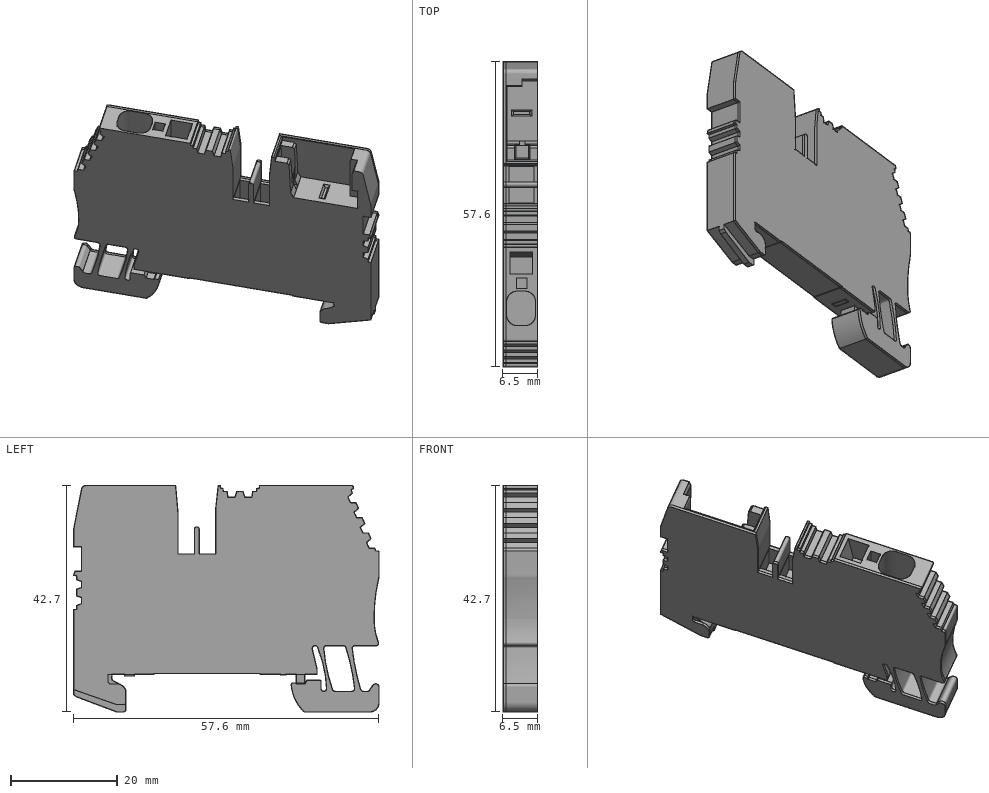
import cadquery as cq


WIDTH = 6.5
LENGTH = 57.55
HEIGHT = 42.7
COVER_THICKNESS = 0.5
RAIL_FACE_Z = 7.1
BODY_END_Z = 12.5
FOOT_FLOOR_Z = 3.93

SLOT_FLOOR_Z = 29.83
SLOT_LOW_Y = 30.81
SLOT_HIGH_Y = 37.87
SLOT_TOP_WIDENING = 0.45
RIB_LOW_Y = 33.86
RIB_HIGH_Y = 34.82
RIB_TOP_Z = 34.9

TEETH = 4
FIRST_TOOTH_ROOT = (5.88, 40.51)
TOOTH_STEP = (-1.17, -2.857)
TOOTH_SHAPE = [(-0.84, 0.72), (0, 0), (-0.5, -1.03), (-1.52, -1.03)]

TOP_GROOVE_Y = 26.23
TOP_GROOVE_HALF = [
    (3.68, HEIGHT), (3.64, 42.2), (3.18, 42.15), (3.1, 41.57), (2.4, 41.57), (2.24, 40.51),
    (0.95, 40.51), (0.6, 41.57),
]

BACK_GROOVE_Z = 22.52
BACK_GROOVE_HALF = [
    (LENGTH, 3.2), (57.0, 3.15), (57.0, 2.42), (56.07, 2.08), (56.07, 0.95), (57.0, 0.66),
]
BACK_NOTCH_Y = 56.07
BACK_NOTCH_LOW_Z = 26.55
BACK_NOTCH_HIGH_Z = 31.15

HOOK_LOW_Y = 47.69
HOOK_TIP_Z = 4.11
HOOK_FLAT_Y = 49.37
HOOK_BOTTOM_Z = 1.39
FOOT_SLOPE_END_Z = 4.25
FOOT_RIB_X = (2.6, 3.8)

POCKET_X = 0.7
POCKET_LOW_Y = 39.0
SLOT_WALL_CHAMFER = 0.25
POCKET_HIGH_Y = 53.0
POCKET_FLOOR_Z = 33.0
POST_X = 3.55
POST_Y = 53.9
POST_CHAMFER = (0.35, 1.0)
COVER_SIDE_CHAMFER = (0.2, 0.8)
POST_BOTTOM_Z = 37.5
UNDERCUT_Y = 55.0

GUIDE_TOP_Z = 41.75
GUIDE_EDGE_DROP = 0.4
GUIDE_PROFILE = [
    (POCKET_LOW_Y, POCKET_FLOOR_Z), (POCKET_LOW_Y, GUIDE_TOP_Z), (41.3, GUIDE_TOP_Z),
    (41.7, GUIDE_TOP_Z - GUIDE_EDGE_DROP), (42.0, 34.2), (42.6, POCKET_FLOOR_Z),
]
GUIDE_RECESS_X = (2.4, 4.75)
GUIDE_RECESS_Y = (39.4, 41.75)
GUIDE_RECESS_FLARE = 0.3
GUIDE_SLIT_X = (3.1, 4.1)
GUIDE_SLIT_FLOOR = 0.1

TAB_CENTRE = (3.5, 47.85)
TAB_SLIT_SIZE = (3.8, 1.2)
TAB_SIZE = (3.0, 0.5)
TAB_DEPTH = 4.0
TAB_TOP_GAP = 0.5

JUMPER_X = (1.1, 5.8)
JUMPER_DEPTH = 5.0
JUMPER_WALL = 0.07

ACTUATOR_X = (1.25, 5.55)
ACTUATOR_Y = (17.55, 21.7)
ACTUATOR_DEPTH = 6.0
ACTUATOR_SLOPE = 1.0
ACTUATOR_LENGTH = 8.0
PROBE_X = (2.5, 4.5)
PROBE_Y = (14.8, 16.75)
PROBE_DEPTH = 6.0
WIRE_CENTRE = (3.38, 11.05)
WIRE_LENGTH = 6.5
WIRE_WIDTH = 5.45
WIRE_CORNER_RADIUS = 2.0
WIRE_DEPTH = 12.0

CONTACT_X = (2.0, 5.0)
CONTACT_BOTTOM_Z = 7.5
CONTACT_TOP_Z = 9.0
CONTACT_FRONT_END_Y = (14.0, 15.65)
CONTACT_BACK_END_Y = (50.3, 51.2)
CONTACT_END_Z = 5.4
CONTACT_FRONT_PAD_Y = (17.5, 18.6)
CONTACT_FRONT_PAD_Z = 6.98
CONTACT_BACK_PAD_Y = (46.1, 47.95)
CONTACT_BACK_PAD_Z = 6.8


def box(x_range, y_range, z_range):
    """Box between the given limits."""
    size = [high - low for low, high in (x_range, y_range, z_range)]
    return cq.Workplane("XY", origin=(x_range[0], y_range[0], z_range[0])).box(*size, centered=False)


def prism(points, x_range):
    """Prism along X over a straight-sided (Y, Z) outline."""
    low, high = x_range
    return cq.Workplane("YZ", origin=(low, 0, 0)).polyline(points).close().extrude(high - low)


def top_groove_points():
    high_side = [(TOP_GROOVE_Y + y, z) for y, z in TOP_GROOVE_HALF]
    low_side = [(TOP_GROOVE_Y - y, z) for y, z in reversed(TOP_GROOVE_HALF)]
    return high_side + low_side


def back_groove_points():
    low_side = [(y, BACK_GROOVE_Z - z) for y, z in BACK_GROOVE_HALF]
    high_side = [(y, BACK_GROOVE_Z + z) for y, z in reversed(BACK_GROOVE_HALF)]
    return low_side + high_side


def tooth_points():
    points = []
    for i in range(TEETH):
        root_y = FIRST_TOOTH_ROOT[0] + i * TOOTH_STEP[0]
        root_z = FIRST_TOOTH_ROOT[1] + i * TOOTH_STEP[1]
        points += [(root_y + y, root_z + z) for y, z in TOOTH_SHAPE]
    return points


def foot_window(x, thickness):
    """Opening between the two spring arms of the flexible foot."""
    return (
        cq.Workplane("YZ", origin=(x, 0, 0))
        .moveTo(10.45, BODY_END_Z)
        .threePointArc((9.88, 8.3), (8.65, FOOT_FLOOR_Z))
        .lineTo(4.6, FOOT_FLOOR_Z)
        .threePointArc((5.25, 8.3), (6.4, BODY_END_Z))
        .close()
        .extrude(thickness)
        .edges("|X")
        .fillet(0.5)
    )


def block_plate(x, thickness, hook_points):
    """Full side outline of the block; hook_points shape the notch above the rigid foot."""
    outline = cq.Workplane("YZ", origin=(x, 0, 0)).moveTo(LENGTH, FOOT_SLOPE_END_Z)
    for point in back_groove_points():
        outline = outline.lineTo(*point)
    outline = (
        outline.lineTo(LENGTH - 0.25, BACK_NOTCH_LOW_Z)
        .lineTo(BACK_NOTCH_Y, BACK_NOTCH_LOW_Z)
        .lineTo(BACK_NOTCH_Y, BACK_NOTCH_HIGH_Z)
        .lineTo(LENGTH, BACK_NOTCH_HIGH_Z)
        .lineTo(LENGTH, 34.5)
        .lineTo(56.05, 42.1)
        .threePointArc((55.75, 42.5), (55.1, HEIGHT))
        .lineTo(SLOT_HIGH_Y + SLOT_TOP_WIDENING, HEIGHT)
        .lineTo(SLOT_HIGH_Y, 37.58)
        .lineTo(SLOT_HIGH_Y, SLOT_FLOOR_Z)
        .lineTo(RIB_HIGH_Y, SLOT_FLOOR_Z)
        .lineTo(RIB_HIGH_Y, RIB_TOP_Z - (RIB_HIGH_Y - RIB_LOW_Y) / 2)
        .threePointArc(
            ((RIB_LOW_Y + RIB_HIGH_Y) / 2, RIB_TOP_Z),
            (RIB_LOW_Y, RIB_TOP_Z - (RIB_HIGH_Y - RIB_LOW_Y) / 2),
        )
        .lineTo(RIB_LOW_Y, SLOT_FLOOR_Z)
        .lineTo(SLOT_LOW_Y, SLOT_FLOOR_Z)
        .lineTo(SLOT_LOW_Y, 38.3)
        .lineTo(SLOT_LOW_Y - SLOT_TOP_WIDENING, 42.4)
        .threePointArc((30.28, 42.62), (30.1, HEIGHT))
    )
    for point in top_groove_points():
        outline = outline.lineTo(*point)
    outline = (
        outline.lineTo(5.15, HEIGHT)
        .threePointArc((4.93, 42.61), (4.84, 42.39))
        .lineTo(4.84, 42.1)
        .lineTo(5.23, 41.87)
    )
    for point in tooth_points():
        outline = outline.lineTo(*point)
    outline = (
        outline.lineTo(0.64, 30.37)
        .lineTo(0.3, 30.37)
        .threePointArc((0.09, 30.28), (0, 30.07))
        .lineTo(0, 25.75)
        .threePointArc((0.02, 25.4), (0.1, 25.05))
        .threePointArc((0.74, 21.3), (0.92, 17.5))
        .threePointArc((0.75, 15.4), (0.2, 13.3))
        .threePointArc((0.19, 12.7), (0.5, BODY_END_Z))
        .lineTo(4.6, BODY_END_Z)
        .threePointArc((4.9, 12.37), (5.05, 12.05))
        .threePointArc((4.48, 8.3), (3.5, 4.4))
        .threePointArc((3.3, 4.06), (2.97, FOOT_FLOOR_Z))
        .lineTo(2.15, FOOT_FLOOR_Z)
        .threePointArc((1.9, 4.05), (1.75, 4.3))
        .lineTo(1.25, 4.95)
        .threePointArc((0.65, 5.35), (0, 4.7))
        .lineTo(0, 1.9)
        .threePointArc((0.5, 0.56), (1.9, 0))
        .lineTo(14.08, 0)
        .threePointArc((15.75, 2.2), (16.59, 5.25))
        .lineTo(16.4, 5.5)
        .lineTo(15.69, 5.5)
        .lineTo(15.51, 5.33)
        .lineTo(14.0, 5.33)
        .lineTo(13.6, 6.04)
        .lineTo(11.21, 6.04)
        .threePointArc((11.01, 5.94), (10.93, 5.7))
        .lineTo(10.93, 4.4)
        .threePointArc((10.4, FOOT_FLOOR_Z), (9.92, 4.4))
        .threePointArc((10.4, 8.3), (11.55, 12.0))
        .threePointArc((12.1, BODY_END_Z), (12.58, 11.9))
        .lineTo(11.68, 8.1)
        .lineTo(11.68, RAIL_FACE_Z)
        .lineTo(22.43, RAIL_FACE_Z)
        .lineTo(22.43, 7.27)
        .lineTo(42.39, 7.27)
        .lineTo(42.39, RAIL_FACE_Z)
    )
    for point in hook_points:
        outline = outline.lineTo(*point)
    outline = (
        outline.threePointArc((48.1, 4.75), (HOOK_LOW_Y, HOOK_TIP_Z))
        .lineTo(HOOK_LOW_Y, 1.65)
        .lineTo(48.0, HOOK_BOTTOM_Z)
        .lineTo(HOOK_FLAT_Y, HOOK_BOTTOM_Z)
        .close()
    )
    return outline.extrude(thickness).cut(foot_window(x, thickness))


def make_cover():
    notch = [(51.06, RAIL_FACE_Z), (51.06, 5.65), (50.7, 5.33), (49.0, 5.33)]
    return block_plate(0, COVER_THICKNESS, notch)


def foot_rib():
    """Narrow rib that carries the sloping underside of the rigid foot further down."""
    points = [
        (HOOK_LOW_Y, HOOK_TIP_Z), (HOOK_LOW_Y, 0.3), (48.1, 0), (HOOK_FLAT_Y, 0),
        (57.0, FOOT_SLOPE_END_Z - HOOK_BOTTOM_Z), (LENGTH, 3.3), (LENGTH, FOOT_SLOPE_END_Z),
        (HOOK_FLAT_Y, HOOK_TIP_Z),
    ]
    return prism(points, FOOT_RIB_X)


def marker_pocket():
    top = HEIGHT
    slot_wall_top = [
        (POCKET_LOW_Y - SLOT_WALL_CHAMFER, top), (POCKET_LOW_Y, top - SLOT_WALL_CHAMFER),
        (POCKET_LOW_Y, POCKET_FLOOR_Z),
    ]
    chamfer_y, chamfer_z = POST_CHAMFER
    post_side = slot_wall_top + [
        (UNDERCUT_Y, POCKET_FLOOR_Z), (UNDERCUT_Y, POST_BOTTOM_Z), (POST_Y, POST_BOTTOM_Z),
        (POST_Y, top - chamfer_z), (POST_Y + chamfer_y, top),
    ]
    chamfer_y, chamfer_z = COVER_SIDE_CHAMFER
    wall_y = POCKET_HIGH_Y - chamfer_y
    cover_side = slot_wall_top + [
        (wall_y, POCKET_FLOOR_Z), (wall_y, top - chamfer_z), (POCKET_HIGH_Y, top),
    ]
    return prism(post_side, (POST_X, WIDTH)).union(prism(cover_side, (POCKET_X, POST_X)))


def marker_guide():
    guide = prism(GUIDE_PROFILE, (POCKET_X, WIDTH))
    low_x, high_x = GUIDE_RECESS_X
    low_y, high_y = GUIDE_RECESS_Y
    flare = GUIDE_RECESS_FLARE
    recess = (
        cq.Workplane("XY", origin=((low_x + high_x) / 2, 0, POCKET_FLOOR_Z))
        .center(0, (low_y + high_y) / 2)
        .rect(high_x - low_x, high_y - low_y)
        .workplane(offset=GUIDE_TOP_Z - POCKET_FLOOR_Z)
        .rect(high_x - low_x + 2 * flare, high_y - low_y + 2 * flare)
        .loft(ruled=True)
    )
    slit = box(GUIDE_SLIT_X, (high_y, POCKET_HIGH_Y), (POCKET_FLOOR_Z + GUIDE_SLIT_FLOOR, HEIGHT))
    return guide.cut(recess).cut(slit)


def make_contact_tab():
    """Upright bar from the slit's bottom to just below the pocket floor."""
    x, y = TAB_CENTRE
    floor = cq.Workplane("XY", origin=(x, y, POCKET_FLOOR_Z - TAB_DEPTH))
    return floor.rect(*TAB_SIZE).extrude(TAB_DEPTH - TAB_TOP_GAP)


def tab_slit():
    """Slit that narrows from its mouth to the size of the tab."""
    x, y = TAB_CENTRE
    funnel = (
        cq.Workplane("XY", origin=(x, y, POCKET_FLOOR_Z - TAB_TOP_GAP))
        .rect(*TAB_SIZE)
        .workplane(offset=TAB_TOP_GAP)
        .rect(*TAB_SLIT_SIZE)
        .loft(ruled=True)
    )
    return funnel.union(make_contact_tab())


def jumper_openings():
    z_range = (SLOT_FLOOR_Z - JUMPER_DEPTH, SLOT_FLOOR_Z)
    low = box(JUMPER_X, (SLOT_LOW_Y + JUMPER_WALL, RIB_LOW_Y - JUMPER_WALL), z_range)
    high = box(JUMPER_X, (RIB_HIGH_Y + JUMPER_WALL, SLOT_HIGH_Y - JUMPER_WALL), z_range)
    return low.union(high)


def make_actuator():
    """Push button at the bottom of its shaft."""
    top_z = HEIGHT - ACTUATOR_DEPTH
    button_y = (ACTUATOR_Y[0], ACTUATOR_Y[1] - ACTUATOR_SLOPE)
    return box(ACTUATOR_X, button_y, (top_z - ACTUATOR_LENGTH, top_z))


def actuator_shaft():
    """Shaft for the button with one sloping wall."""
    low_y, high_y = ACTUATOR_Y
    floor_z = HEIGHT - ACTUATOR_DEPTH
    points = [(low_y, floor_z), (high_y - ACTUATOR_SLOPE, floor_z), (high_y, HEIGHT), (low_y, HEIGHT)]
    return prism(points, ACTUATOR_X).union(make_actuator())


def wire_entry():
    """Conductor entry with large corner radii."""
    x, y = WIRE_CENTRE
    floor = cq.Workplane("XY", origin=(x, y, HEIGHT - WIRE_DEPTH))
    entry = floor.rect(WIRE_WIDTH, WIRE_LENGTH).extrude(WIRE_DEPTH)
    return entry.edges("|Z").fillet(WIRE_CORNER_RADIUS)


def make_rail_contact():
    contact_y = (CONTACT_FRONT_END_Y[0], CONTACT_BACK_END_Y[1])
    contact = box(CONTACT_X, contact_y, (CONTACT_BOTTOM_Z, CONTACT_TOP_Z))
    for y_range, low_z in (
        (CONTACT_FRONT_END_Y, CONTACT_END_Z),
        (CONTACT_FRONT_PAD_Y, CONTACT_FRONT_PAD_Z),
        (CONTACT_BACK_PAD_Y, CONTACT_BACK_PAD_Z),
        (CONTACT_BACK_END_Y, CONTACT_END_Z),
    ):
        contact = contact.union(box(CONTACT_X, y_range, (low_z, CONTACT_TOP_Z)))
    return contact


def make_housing(rail_contact):
    hook = [(50.3, RAIL_FACE_Z), (50.45, 6.3), (50.05, 5.9), (49.0, 5.33)]
    housing = block_plate(COVER_THICKNESS, WIDTH - COVER_THICKNESS, hook).union(foot_rib())
    housing = housing.cut(marker_pocket()).union(marker_guide())
    probe_hole = box(PROBE_X, PROBE_Y, (HEIGHT - PROBE_DEPTH, HEIGHT))
    top_openings = [tab_slit(), jumper_openings(), actuator_shaft(), probe_hole, wire_entry()]
    for opening in top_openings + [rail_contact]:
        housing = housing.cut(opening)
    return housing


rail_contact = make_rail_contact()
cover = make_cover()
housing = make_housing(rail_contact)
contact_tab = make_contact_tab()
actuator = make_actuator()

result = cq.Compound.makeCompound(
    [body.solids().val() for body in (housing, cover, rail_contact, contact_tab, actuator)]
)